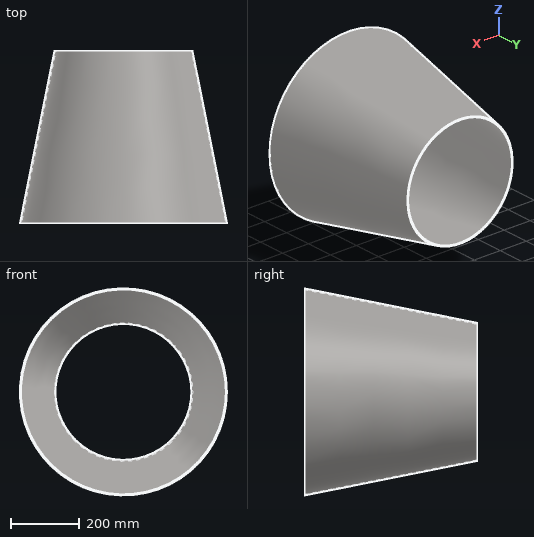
import cadquery as cq

large_diameter = 609.5
small_diameter = 406.5
length = 508.0
wall = 4.0


def cone_along_y(large_radius, small_radius):
    """Solid cone frustum with its large end at Y = 0 and its small end at Y = length."""
    profile = [(0, 0), (large_radius, 0), (small_radius, length), (0, length)]
    return cq.Workplane("XY").polyline(profile).close().revolve(360, (0, 0, 0), (0, 1, 0))


outer_cone = cone_along_y(large_diameter / 2, small_diameter / 2)
inner_cone = cone_along_y(large_diameter / 2 - wall, small_diameter / 2 - wall)

result = outer_cone.cut(inner_cone)